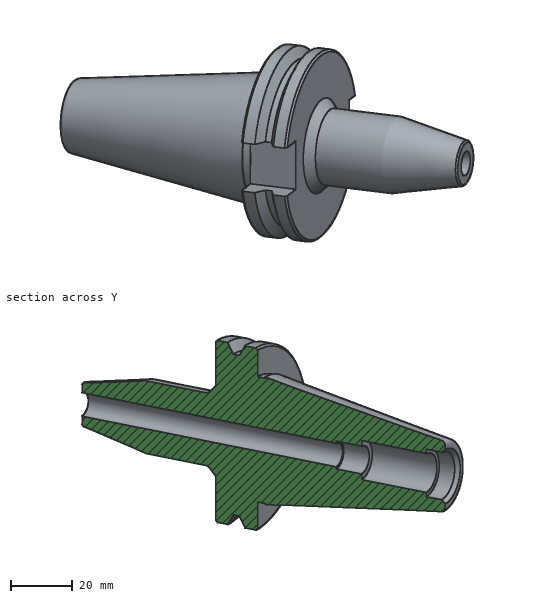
import cadquery as cq
import math

overall_length = 138.2

gauge_plane = 68.4
gauge_diameter = 44.5
taper_ratio = 7 / 24
rear_fillet = 1.7
relief_diameter = 43.7

flange_start = 71.3
flange_end = 87.3
flange_diameter = 63.4
flange_chamfer = 0.7
groove_center = 79.5
groove_floor_width = 2.2
groove_depth = 3.7
groove_flank_angle = 30.0

slot_width = 16.6
shallow_slot_floor = 24.7
deep_slot_floor = 22.2

nose_diameter = 25.4
nose_collar_length = 3.0
nose_taper_start = 113.7
tip_diameter = 15.0
tip_chamfer = 0.5

mouth_diameter = 18.9
drawbar_diameter = 16.3
drawbar_depth = 7.2
middle_diameter = 13.4
middle_depth = 31.8
neck_diameter = 9.5
neck_depth = 41.5
through_diameter = 8.0
mouth_depth = (mouth_diameter - drawbar_diameter) / 2


def revolve_about_x(profile):
    """Close an (X, radius) outline and turn it about the X axis."""
    return profile.close().revolve(360, (0, 0, 0), (1, 0, 0))


def make_shank():
    rear_radius = (gauge_diameter - gauge_plane * taper_ratio) / 2
    profile = (
        cq.Workplane("XY")
        .lineTo(0, rear_radius)
        .lineTo(gauge_plane, gauge_diameter / 2)
        .lineTo(gauge_plane, relief_diameter / 2)
        .lineTo(flange_start, relief_diameter / 2)
        .lineTo(flange_start, 0)
    )
    return revolve_about_x(profile).faces("<X").edges().fillet(rear_fillet)


def make_flange():
    radius = flange_diameter / 2
    floor_half = groove_floor_width / 2
    mouth_half = floor_half + groove_depth * math.tan(math.radians(groove_flank_angle))
    profile = (
        cq.Workplane("XY")
        .moveTo(flange_start, 0)
        .lineTo(flange_start, radius - flange_chamfer)
        .lineTo(flange_start + flange_chamfer, radius)
        .lineTo(groove_center - mouth_half, radius)
        .lineTo(groove_center - floor_half, radius - groove_depth)
        .lineTo(groove_center + floor_half, radius - groove_depth)
        .lineTo(groove_center + mouth_half, radius)
        .lineTo(flange_end - flange_chamfer, radius)
        .lineTo(flange_end, radius - flange_chamfer)
        .lineTo(flange_end, 0)
    )
    return revolve_about_x(profile)


def make_nose():
    radius = nose_diameter / 2
    profile = (
        cq.Workplane("XY")
        .moveTo(flange_end, 0)
        .lineTo(flange_end, radius + nose_collar_length)
        .lineTo(flange_end + nose_collar_length, radius)
        .lineTo(nose_taper_start, radius)
        .lineTo(overall_length, tip_diameter / 2)
        .lineTo(overall_length, 0)
    )
    return revolve_about_x(profile).faces(">X").edges().chamfer(tip_chamfer)


def make_drive_slot(side, floor):
    """Cutter for a slot whose flat floor lies at Y = side * floor."""
    depth = flange_diameter / 2
    return cq.Workplane("XY").box(flange_end - flange_start, depth, slot_width).translate(
        ((flange_start + flange_end) / 2, side * (floor + depth / 2), 0)
    )


def make_bore():
    profile = (
        cq.Workplane("XY")
        .lineTo(0, mouth_diameter / 2)
        .lineTo(mouth_depth, drawbar_diameter / 2)
        .lineTo(drawbar_depth, drawbar_diameter / 2)
        .lineTo(drawbar_depth, middle_diameter / 2)
        .lineTo(middle_depth, middle_diameter / 2)
        .lineTo(middle_depth, neck_diameter / 2)
        .lineTo(neck_depth, neck_diameter / 2)
        .lineTo(neck_depth, through_diameter / 2)
        .lineTo(overall_length, through_diameter / 2)
        .lineTo(overall_length, 0)
    )
    return revolve_about_x(profile)


body = make_shank().union(make_flange()).union(make_nose())
for side, floor in ((1, shallow_slot_floor), (-1, deep_slot_floor)):
    body = body.cut(make_drive_slot(side, floor))

result = body.cut(make_bore())